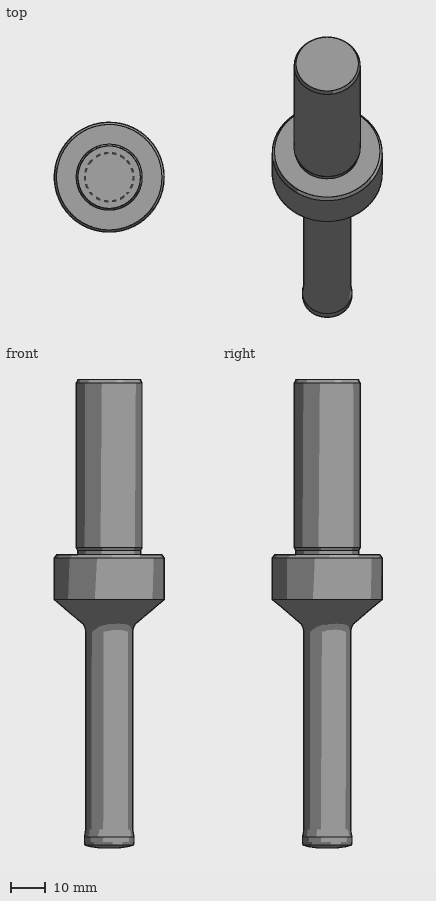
import cadquery as cq

total_height = 135
shank_bottom = 86.6
neck_top = 85.8
collar_top = 84.5
collar_bottom = 71.6
cone_bottom = 64.5
stem_top = 62.3
stem_bottom = 5.3
tip_top = 3.2
rim_top = 1.6
rim_bottom = 0.8
inner_cone_top = 0.4

collar_radius = 31.7 / 2
shank_radius = 19.0 / 2
neck_radius = 18.2 / 2
cone_end_radius = 15.1 / 2
stem_radius = 13.6 / 2
tip_radius = 14.3 / 2
rim_radius = 14.0 / 2
inner_cone_radius = 11.1 / 2
end_flat_radius = 5.7 / 2

shank_chamfer_width = 0.5
shank_chamfer_height = 1.1
collar_chamfer_width = 0.7
collar_chamfer_height = 1.0


def revolve_profile(profile):
    """Close a half profile (radius, z) and turn it about the Z axis."""
    return profile.close().revolve(360, (0, 0), (0, 1))


def make_holder():
    """Shank, relief neck, collar, cone and slim stem with flared ends, turned as one solid."""
    profile = (
        cq.Workplane("XZ")
        .moveTo(stem_radius, stem_bottom)
        .lineTo(stem_radius, stem_top)
        .tangentArcPoint((cone_end_radius, cone_bottom), relative=False)
        .lineTo(collar_radius, collar_bottom)
        .lineTo(collar_radius, collar_top - collar_chamfer_height)
        .lineTo(collar_radius - collar_chamfer_width, collar_top)
        .lineTo(neck_radius, collar_top)
        .lineTo(neck_radius, neck_top)
        .lineTo(shank_radius, shank_bottom)
        .lineTo(shank_radius, total_height - shank_chamfer_height)
        .lineTo(shank_radius - shank_chamfer_width, total_height)
        .lineTo(0, total_height)
        .lineTo(0, tip_top)
        .lineTo(tip_radius, tip_top)
    )
    return revolve_profile(profile)


def make_tip():
    """Short round tip: tapered rim, then two shallow cones down to a small end flat."""
    profile = (
        cq.Workplane("XZ")
        .moveTo(0, tip_top)
        .lineTo(tip_radius, tip_top)
        .lineTo(tip_radius, rim_top)
        .lineTo(rim_radius, rim_bottom)
        .lineTo(inner_cone_radius, inner_cone_top)
        .lineTo(end_flat_radius, 0)
        .lineTo(0, 0)
    )
    return revolve_profile(profile)


holder = make_holder()
tip = make_tip()

result = cq.Compound.makeCompound([holder.val(), tip.val()])